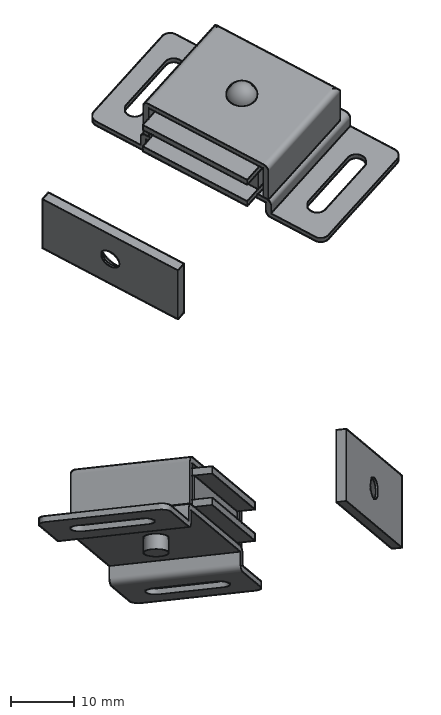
import cadquery as cq


sheet = 1.0
bend_radius = sheet

cover_width = 24.0
cover_depth = 20.0
cover_height = 7.95
front_y = -cover_depth / 2
cover_inner_back_y = cover_depth / 2 - sheet

base_length = 45.0
step_width = 25.05
step_height = 4.05
base_ledge = 2.0
base_back_y = cover_depth / 2 + base_ledge
base_center_y = (base_back_y + front_y) / 2
corner_radius = 1.5
slot_width = 3.15
slot_length = 14.0
slot_spacing = 35.0

cover_top_z = step_height + cover_height

pole_width = 20.0
pole_thickness = 1.2
pole_overhang = 3.0
magnet_height = 4.0
magnet_z = step_height + pole_thickness
upper_pole_z = magnet_z + magnet_height

shank_diameter = 4.0
shank_bottom_z = 0.5
dome_diameter = 4.95
dome_height = 2.0
dome_radius = ((dome_diameter / 2) ** 2 + dome_height**2) / (2 * dome_height)

overall_depth = 48.6
strike_width = 26.0
strike_height = 11.95
strike_thickness = 1.7
strike_bottom_z = 1.25
strike_hole_diameter = 3.5
strike_hole_lip = 0.4
countersink_angle = 90
countersink_diameter = strike_hole_diameter + 2 * (strike_thickness - strike_hole_lip)
strike_front_y = base_back_y - overall_depth


def block(width, y_front, y_back, z_bottom, height):
    """Box centred on X = 0, between two Y planes, standing on z_bottom."""
    solid = cq.Workplane("XY").box(width, y_back - y_front, height, centered=(True, False, False))
    return solid.translate((0, y_front, z_bottom))


def shank():
    """Rivet shank, also the cutter for every hole it passes through."""
    length = cover_top_z - shank_bottom_z
    return cq.Workplane("XY", origin=(0, 0, shank_bottom_z)).circle(shank_diameter / 2).extrude(length)


def make_base():
    """Hat-shaped strip with a slotted mounting tab on each side."""
    half_step = step_width / 2
    half_inner = half_step - sheet
    tabs = block(base_length, front_y, base_back_y, 0, sheet).edges("|Z").fillet(corner_radius)
    step = block(step_width, front_y, base_back_y, 0, step_height)
    step = step.edges("|Y and >Z").fillet(bend_radius)
    channel = block(2 * half_inner, front_y, base_back_y, 0, step_height - sheet)
    base = tabs.union(step).cut(channel)
    lower_bends = cq.selectors.BoxSelector(
        (-half_step, front_y - sheet, -sheet / 2), (half_step, base_back_y + sheet, sheet / 2)
    )
    base = base.edges("|Y").edges(lower_bends).fillet(bend_radius)
    slots = (
        cq.Workplane("XY")
        .pushPoints([(side * slot_spacing / 2, base_center_y) for side in (-1, 1)])
        .slot2D(slot_length, slot_width, 90)
        .extrude(sheet)
    )
    return base.cut(slots).cut(shank())


def make_cover():
    """Box open at the front and underneath, with rounded top edges on three sides."""
    cover = block(cover_width, front_y, cover_depth / 2, step_height, cover_height)
    cover = cover.faces(">Z").edges("|Y or >Y").fillet(bend_radius)
    cavity = block(cover_width - 2 * sheet, front_y, cover_inner_back_y, step_height, cover_height - sheet)
    return cover.cut(cavity).cut(shank())


def make_pole_plate(z_bottom):
    """Flat steel plate that reaches out past the front of the cover."""
    plate = block(pole_width, front_y - pole_overhang, cover_inner_back_y, z_bottom, pole_thickness)
    return plate.cut(shank())


def make_magnet():
    """Block magnet filling the space between the pole plates, flush with the cover front."""
    return block(pole_width, front_y, cover_inner_back_y, magnet_z, magnet_height).cut(shank())


def make_rivet():
    """Straight shank through the whole stack with a domed head on the cover."""
    dome = (
        cq.Workplane("XZ")
        .moveTo(0, cover_top_z)
        .lineTo(dome_diameter / 2, cover_top_z)
        .radiusArc((0, cover_top_z + dome_height), -dome_radius)
        .close()
        .revolve(360, (0, 0), (0, 1))
    )
    return shank().union(dome)


def make_strike():
    """Upright plate in front of the catch, with a screw hole countersunk on its magnet side."""
    back_y = strike_front_y + strike_thickness
    plate = block(strike_width, strike_front_y, back_y, strike_bottom_z, strike_height)
    back_face = plate.faces(">Y").workplane(centerOption="CenterOfBoundBox")
    return back_face.cskHole(strike_hole_diameter, countersink_diameter, countersink_angle)


base = make_base()
cover = make_cover()
pole_plates = [make_pole_plate(z_bottom) for z_bottom in (step_height, upper_pole_z)]
magnet = make_magnet()
rivet = make_rivet()
strike = make_strike()

result = cq.Compound.makeCompound(
    [
        base.val(),
        cover.val(),
        *[plate.val() for plate in pole_plates],
        magnet.val(),
        rivet.val(),
        strike.val(),
    ]
)